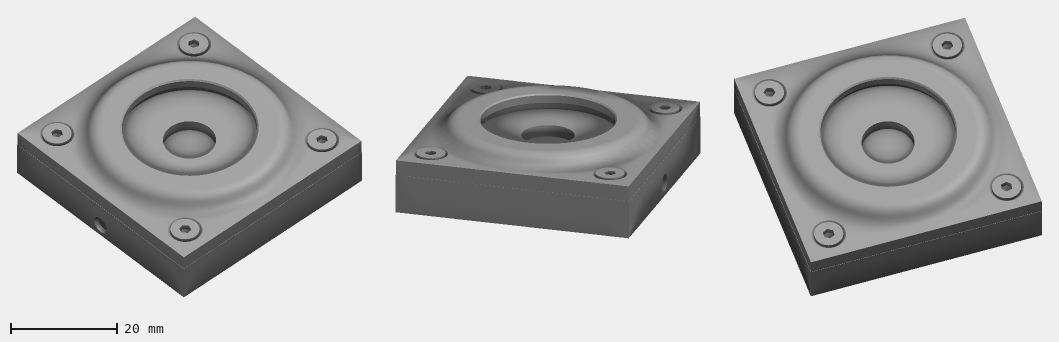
import cadquery as cq
import math

side = 46.0
base_height = 7.5
plate_top = 10.5
plate_setback = 0.05

total_height = 13.0
dome_radius = 21.6
flank_radius = 3.0

mouth_diameter = 25.55
mouth_depth = 1.8
mouth_chamfer = 0.28
chamber_diameter = 26.95
recess_depth = 3.3
well_diameter = 10.05
well_depth = 2.3

screw_circle_diameter = 50.0
countersink_diameter = 6.55
screw_head_diameter = 5.5
screw_head_rise = 0.2
socket_across_flats = 2.0
socket_depth = 1.0
socket_tip_angle = 120.0
screw_placements = [(45, 26), (135, 13), (225, 33), (315, 43)]

side_hole_diameter = 3.45
side_hole_depth = 1.0
side_hole_height = 2.6


def vertical_cylinder(diameter, bottom, top):
    return cq.Workplane("XY").workplane(offset=bottom).circle(diameter / 2).extrude(top - bottom)


def make_housing():
    base = cq.Workplane("XY").rect(side, side).extrude(base_height)
    plate_side = side - 2 * plate_setback
    plate = cq.Workplane("XY").rect(plate_side, plate_side).extrude(plate_top)
    return base.union(plate)


def make_dome():
    rise = (total_height - plate_top) / 2
    half_angle = math.acos(1 - rise / flank_radius) / 2
    run = flank_radius * math.sin(2 * half_angle)
    arc_run = flank_radius * math.sin(half_angle)
    arc_rise = flank_radius * (1 - math.cos(half_angle))
    top_radius = dome_radius - 2 * run
    return (
        cq.Workplane("XZ")
        .lineTo(dome_radius, 0)
        .lineTo(dome_radius, plate_top)
        .threePointArc(
            (dome_radius - arc_run, plate_top + arc_rise),
            (dome_radius - run, plate_top + rise),
        )
        .threePointArc(
            (top_radius + arc_run, total_height - arc_rise),
            (top_radius, total_height),
        )
        .lineTo(0, total_height)
        .close()
        .revolve(360, (0, 0, 0), (0, 1, 0))
    )


def make_recess():
    floor = total_height - recess_depth
    chamber = vertical_cylinder(chamber_diameter, floor, total_height - mouth_depth)
    mouth = vertical_cylinder(mouth_diameter, floor, total_height)
    rim = (
        cq.Workplane("XY")
        .workplane(offset=total_height)
        .circle(mouth_diameter / 2 + mouth_chamfer)
        .workplane(offset=-mouth_chamfer)
        .circle(mouth_diameter / 2)
        .loft(ruled=True)
    )
    well = vertical_cylinder(well_diameter, floor - well_depth, floor)
    return chamber.union(mouth).union(rim).union(well)


def make_screw_opening():
    seat = vertical_cylinder(screw_head_diameter, base_height, plate_top)
    depth = (countersink_diameter - screw_head_diameter) / 2
    countersink = (
        cq.Workplane("XY")
        .workplane(offset=plate_top)
        .circle(countersink_diameter / 2)
        .workplane(offset=-depth)
        .circle(screw_head_diameter / 2)
        .loft(ruled=True)
    )
    return seat.union(countersink)


def make_screw_head(socket_twist):
    head_top = plate_top + screw_head_rise
    socket_radius = socket_across_flats / math.sqrt(3)
    tip_depth = socket_radius / math.tan(math.radians(socket_tip_angle / 2))
    socket_floor = head_top - socket_depth
    head = vertical_cylinder(screw_head_diameter, base_height, head_top)
    socket = (
        cq.Workplane("XY")
        .workplane(offset=socket_floor)
        .polygon(6, 2 * socket_radius)
        .extrude(socket_depth)
        .rotate((0, 0, 0), (0, 0, 1), socket_twist)
    )
    tip = cq.Solid.makeCone(
        socket_radius, 0, tip_depth, pnt=cq.Vector(0, 0, socket_floor), dir=cq.Vector(0, 0, -1)
    )
    return head.cut(socket).cut(cq.Workplane(tip))


def make_side_hole():
    return (
        cq.Workplane("XZ", origin=(0, -side / 2, side_hole_height))
        .circle(side_hole_diameter / 2)
        .extrude(-side_hole_depth)
    )


result = make_housing().union(make_dome()).cut(make_recess()).cut(make_side_hole())

for position_angle, socket_twist in screw_placements:
    x = screw_circle_diameter / 2 * math.cos(math.radians(position_angle))
    y = screw_circle_diameter / 2 * math.sin(math.radians(position_angle))
    result = result.cut(make_screw_opening().translate((x, y, 0)))
    result = result.union(make_screw_head(socket_twist).translate((x, y, 0)))